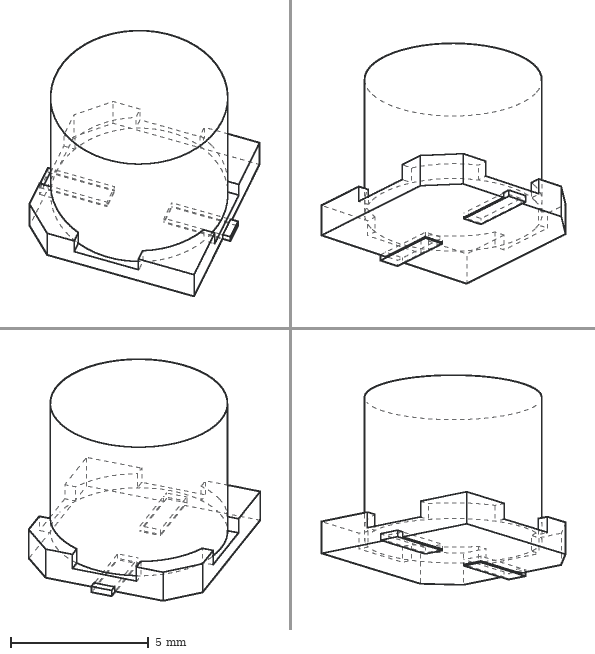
import cadquery as cq

overall_length = 7.39
overall_height = 6.05

base_width = 6.81
base_standoff = 0.05
base_top = 1.255
base_chamfer = 1.11
notch_width = 2.5
notch_floor = 0.665

can_diameter = 6.46

terminal_length = 2.59
terminal_width = 0.8
terminal_thickness = 0.245


def make_can():
    return (
        cq.Workplane("XY")
        .workplane(offset=notch_floor)
        .circle(can_diameter / 2)
        .extrude(overall_height - notch_floor)
    )


def make_terminal(side):
    """Flat terminal reaching the overall length on the given side (-1 or 1) of X."""
    center_x = side * (overall_length - terminal_length) / 2
    return (
        cq.Workplane("XY")
        .center(center_x, 0)
        .rect(terminal_length, terminal_width)
        .extrude(terminal_thickness)
    )


def make_base(can, terminals):
    """Square plate with two chamfered -X corners, side notches and seats for the other bodies."""
    base = (
        cq.Workplane("XY")
        .workplane(offset=base_standoff)
        .rect(base_width, base_width)
        .extrude(base_top - base_standoff)
        .edges("|Z and <X")
        .chamfer(base_chamfer)
    )
    channels = cq.Workplane("XY").workplane(offset=notch_floor)
    notch_depth = base_top - notch_floor
    base = base.cut(channels.rect(notch_width, base_width).extrude(notch_depth))
    base = base.cut(channels.rect(base_width, notch_width).extrude(notch_depth))
    base = base.cut(can)
    for terminal in terminals:
        base = base.cut(terminal)
    return base


can = make_can()
terminals = [make_terminal(side) for side in (-1, 1)]
base = make_base(can, terminals)

result = cq.Compound.makeCompound([base.val(), can.val(), *[terminal.val() for terminal in terminals]])